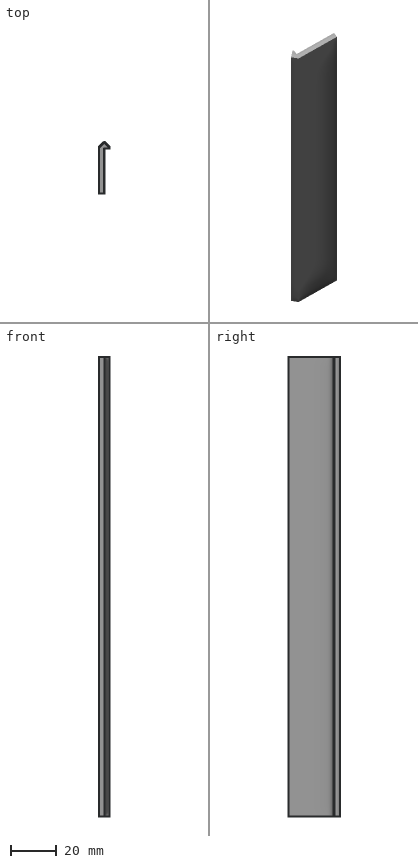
import cadquery as cq

WIDTH = 4.75
DEPTH = 22.5
LENGTH = 200.0

PLATE_THICKNESS = WIDTH / 2

RIDGE_X = WIDTH / 2
BEVEL_DEPTH = RIDGE_X
SHOULDER_Y = DEPTH - BEVEL_DEPTH

HOOK_LIP = 0.6
HOOK_Y = SHOULDER_Y - HOOK_LIP


def make_strip():
    """Plate with a pointed, one-sided hook, extruded along its length."""
    profile = [
        (0, 0),
        (PLATE_THICKNESS, 0),
        (PLATE_THICKNESS, HOOK_Y),
        (WIDTH, HOOK_Y),
        (WIDTH, SHOULDER_Y),
        (RIDGE_X, DEPTH),
        (0, SHOULDER_Y),
    ]
    return cq.Workplane("XY").polyline(profile).close().extrude(LENGTH)


result = make_strip()